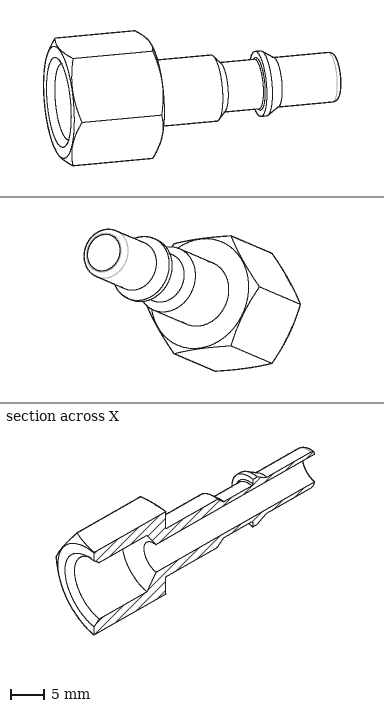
import cadquery as cq
import math

hex_flats = 17.0
hex_corners = hex_flats / math.cos(math.radians(30))
hex_length = 14.0
hex_face_diameter = 16.8
hex_chamfer_angle = 30

overall_length = 43
shank_diameter = 9.98
shank_end = 24.1
neck_diameter = 7.5
neck_start = 25.3
collar_diameter = 9.8
collar_start = 30.95
collar_cone_start = 31.8
collar_cone_end = 33.65
collar_back_edge = 0.2
tip_round = 0.77

socket_diameter = 11.5
socket_depth = 10.3
mouth_diameter = 13.5
drill_point_angle = 118
passage_diameter = 5.6


def revolve_profile(points):
    """Revolve (radius, Y) points around the Y axis."""
    return cq.Workplane("XY").polyline(points).close().revolve(360, (0, 0, 0), (0, 1, 0))


def make_hex():
    """Hexagon with corners on X, its corners turned down conically at both ends."""
    prism = cq.Workplane("XZ").polygon(6, hex_corners).extrude(-hex_length)
    face_radius = hex_face_diameter / 2
    corner_radius = hex_corners / 2
    chamfer = (corner_radius - face_radius) * math.tan(math.radians(hex_chamfer_angle))
    envelope = revolve_profile([
        (0, 0),
        (face_radius, 0),
        (corner_radius, chamfer),
        (corner_radius, hex_length - chamfer),
        (face_radius, hex_length),
        (0, hex_length),
    ])
    return prism.intersect(envelope)


def make_stem():
    """Shank, neck, locking collar and rounded tip; starts inside the hexagon."""
    shank_radius = shank_diameter / 2
    neck_radius = neck_diameter / 2
    collar_radius = collar_diameter / 2
    stem = revolve_profile([
        (0, hex_length / 2),
        (shank_radius, hex_length / 2),
        (shank_radius, shank_end),
        (neck_radius, neck_start),
        (neck_radius, collar_start - collar_back_edge),
        (neck_radius + collar_back_edge, collar_start),
        (collar_radius, collar_start),
        (collar_radius, collar_cone_start),
        (neck_radius, collar_cone_end),
        (neck_radius, overall_length),
        (0, overall_length),
    ])
    return stem.faces(">Y").edges().fillet(tip_round)


def make_bore():
    """Countersunk socket with a drill-point floor leading to a through passage."""
    socket_radius = socket_diameter / 2
    mouth_radius = mouth_diameter / 2
    passage_radius = passage_diameter / 2
    countersink_depth = mouth_radius - socket_radius
    point_depth = (socket_radius - passage_radius) / math.tan(math.radians(drill_point_angle / 2))
    return revolve_profile([
        (0, 0),
        (mouth_radius, 0),
        (socket_radius, countersink_depth),
        (socket_radius, socket_depth),
        (passage_radius, socket_depth + point_depth),
        (passage_radius, overall_length),
        (0, overall_length),
    ])


result = make_hex().union(make_stem()).cut(make_bore())